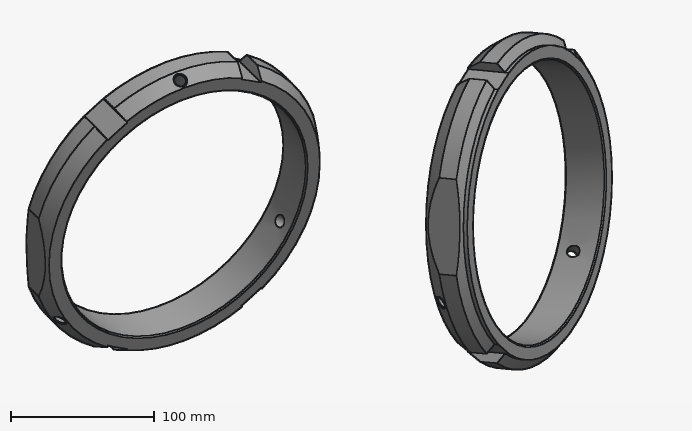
import cadquery as cq
import math

width = 32.0
rim_radius = 117.5
hub_radius = 110.0
bore_radius = 200.0 / 2
bore_chamfer_radius = 202.0 / 2
across_flats = 225.0

hub_length = 3.0
rim_start = 7.3
rim_end = 20.7
taper_angle = 30.0
taper_drop = (width - rim_end) * math.tan(math.radians(taper_angle))
end_radius = rim_radius - taper_drop

slot_width = 18.3
slot_floor_radius = 109.5
slot_angles = (30, 150, 210, 330)

hole_diameter = 8.5
hole_mouth_diameter = 10.0
hole_x = 26.5
hole_count = 3


def ring_body():
    """Revolve the outer profile and bore, with both bore edges chamfered."""
    chamfer = bore_chamfer_radius - bore_radius
    profile = (
        cq.Workplane("XY")
        .moveTo(0, bore_chamfer_radius)
        .lineTo(0, hub_radius)
        .lineTo(hub_length, hub_radius)
        .lineTo(rim_start, rim_radius)
        .lineTo(rim_end, rim_radius)
        .lineTo(width, end_radius)
        .lineTo(width, bore_chamfer_radius)
        .lineTo(width - chamfer, bore_radius)
        .lineTo(chamfer, bore_radius)
        .close()
    )
    return profile.revolve(360, (0, 0, 0), (1, 0, 0))


def flats_envelope():
    """Block that trims the rim to two flats facing -Y and +Y."""
    return cq.Workplane("XY").box(width, across_flats, 2 * rim_radius, centered=(False, True, True))


def slot_cutter(angle):
    """Flat-floored slot through the full width, at an angle from +Z about X."""
    cutter = cq.Workplane("XY").workplane(offset=slot_floor_radius).box(
        width, slot_width, rim_radius, centered=(False, True, False)
    )
    return cutter.rotate((0, 0, 0), (1, 0, 0), angle)


def hole_cutter(angle):
    """Screw hole with a conical mouth, leaning with the tapered face."""
    face_radius = rim_radius - (hole_x - rim_end) * math.tan(math.radians(taper_angle))
    mouth_depth = (hole_mouth_diameter - hole_diameter) / 2
    reach = rim_radius - bore_radius
    lean = math.radians(taper_angle)
    outward = cq.Vector(math.sin(lean), 0, math.cos(lean))
    mouth = cq.Vector(hole_x, 0, face_radius)
    bottom = mouth - outward * (2 * reach)
    drill = cq.Solid.makeCylinder(hole_diameter / 2, 3 * reach, bottom, outward)
    cone = cq.Solid.makeCone(
        hole_diameter / 2,
        hole_mouth_diameter / 2,
        mouth_depth,
        mouth - outward * mouth_depth,
        outward,
    )
    cutter = cq.Workplane(obj=drill).union(cq.Workplane(obj=cone))
    return cutter.rotate((0, 0, 0), (1, 0, 0), angle)


result = ring_body().intersect(flats_envelope())
for slot_angle in slot_angles:
    result = result.cut(slot_cutter(slot_angle))
for index in range(hole_count):
    result = result.cut(hole_cutter(index * 360 / hole_count))